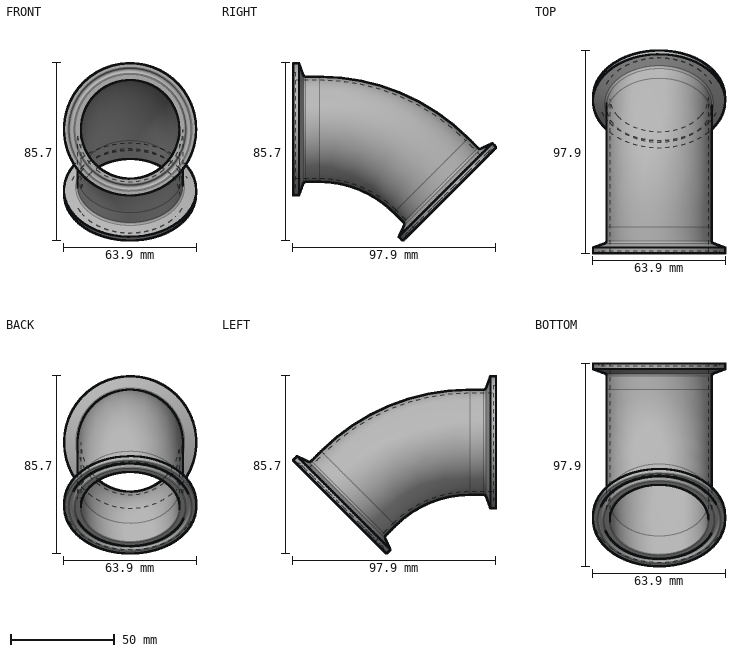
import cadquery as cq
import math

tube_outer_radius = 50.8 / 2
tube_inner_radius = 47.5 / 2
bend_radius = 76.0
bend_angle = 45

flange_radius = 63.9 / 2
flange_length = 12.7
rim_width = 2.8
cone_angle = 20
neck_fillet = 1.3

rim_edge_round = 0.3
groove_lip_round = 0.5
bore_edge_round = 0.3

groove_center_radius = 28.2
groove_section_radius = 1.3


def make_flange():
    """Flange around the Z axis, grooved face on the XY plane, neck rising along +Z."""
    cone_height = (flange_radius - tube_outer_radius) * math.tan(math.radians(cone_angle))
    neck_start = rim_width + cone_height
    section = cq.Sketch().polygon([
        (tube_inner_radius, 0),
        (flange_radius, 0),
        (flange_radius, rim_width),
        (tube_outer_radius, neck_start),
        (tube_outer_radius, flange_length),
        (tube_inner_radius, flange_length),
        (tube_inner_radius, 0),
    ])
    section = section.push([(groove_center_radius, 0)]).circle(groove_section_radius, mode="s").reset()

    rounds = [
        (tube_inner_radius, 0, bore_edge_round),
        (groove_center_radius - groove_section_radius, 0, groove_lip_round),
        (groove_center_radius + groove_section_radius, 0, groove_lip_round),
        (flange_radius, 0, rim_edge_round),
        (tube_outer_radius, neck_start, neck_fillet),
    ]
    for radius, height, size in rounds:
        corner = cq.NearestToPointSelector((radius, height, 0))
        section = section.vertices(corner).fillet(size).reset()

    return cq.Workplane("XZ").placeSketch(section).revolve(360, (0, 0, 0), (0, 1, 0))


def make_bend():
    """Tube bend starting at the origin along +Y and curving down towards -Z."""
    return (
        cq.Workplane("XZ")
        .circle(tube_outer_radius)
        .circle(tube_inner_radius)
        .revolve(bend_angle, (0, -bend_radius, 0), (-1, -bend_radius, 0))
    )


front_flange = (
    make_flange()
    .rotate((0, 0, 0), (1, 0, 0), -90)
    .translate((0, -flange_length, 0))
)

rear_flange = front_flange.mirror("XZ").rotate((0, 0, -bend_radius), (1, 0, -bend_radius), -bend_angle)

result = make_bend().union(front_flange).union(rear_flange)